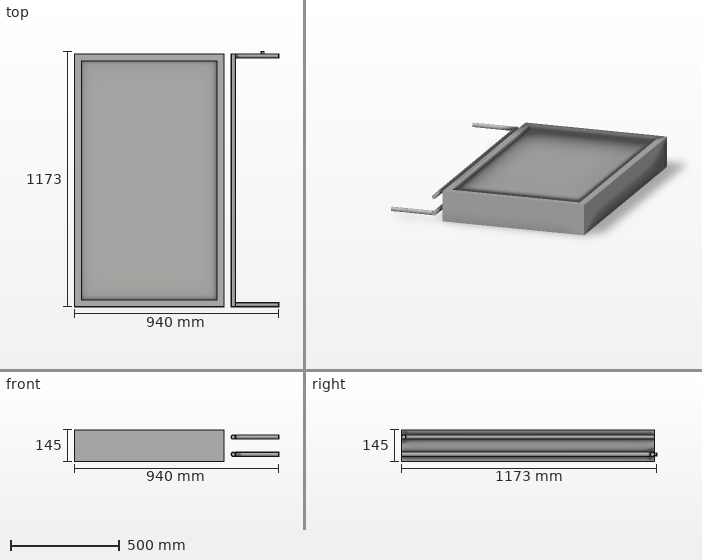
import cadquery as cq

total_x = 940.0
total_y = 1173.0
height = 145.0

pipe_diameter = 20.0
pipe_radius = pipe_diameter / 2
arm_length = 199.0
pipe_gap = 33.0
pipe_spacing = 80.0

stub_diameter = 14.0
stub_length = 10.0
stub_from_arm_end = 75.0

tray_x = total_x - pipe_gap - pipe_diameter - arm_length
tray_y = total_y - stub_length
rim_width = 33.0
recess_depth = 20.0

pipe_x = tray_x + pipe_gap + pipe_radius
arm_start_x = pipe_x + pipe_radius
lower_z = (height - pipe_spacing) / 2
upper_z = lower_z + pipe_spacing
front_arm_y = pipe_radius
rear_arm_y = tray_y - pipe_radius


def make_tray():
    """Rectangular block with a shallow recess inside a raised rim."""
    block = cq.Workplane("XY").box(tray_x, tray_y, height, centered=False)
    recess = (
        cq.Workplane("XY")
        .box(tray_x - 2 * rim_width, tray_y - 2 * rim_width, recess_depth, centered=False)
        .translate((rim_width, rim_width, height - recess_depth))
    )
    return block.cut(recess)


def make_pipe(z):
    """Long round pipe parallel to Y."""
    return cq.Solid.makeCylinder(pipe_radius, tray_y, cq.Vector(pipe_x, 0, z), cq.Vector(0, 1, 0))


def make_arm(y, z):
    """Short round arm parallel to X, butting against the side of a pipe."""
    return cq.Solid.makeCylinder(
        pipe_radius, arm_length, cq.Vector(arm_start_x, y, z), cq.Vector(1, 0, 0)
    )


def make_stub():
    """Small round stub standing on the outer side of the rear arm."""
    stub_base = cq.Vector(total_x - stub_from_arm_end, tray_y, lower_z)
    return cq.Solid.makeCylinder(stub_diameter / 2, stub_length, stub_base, cq.Vector(0, 1, 0))


tray = make_tray()
pipes = [make_pipe(z) for z in (lower_z, upper_z)]
arms = [make_arm(y, z) for y, z in ((rear_arm_y, lower_z), (front_arm_y, upper_z))]
stub = make_stub()

result = cq.Compound.makeCompound([tray.val(), *pipes, *arms, stub])